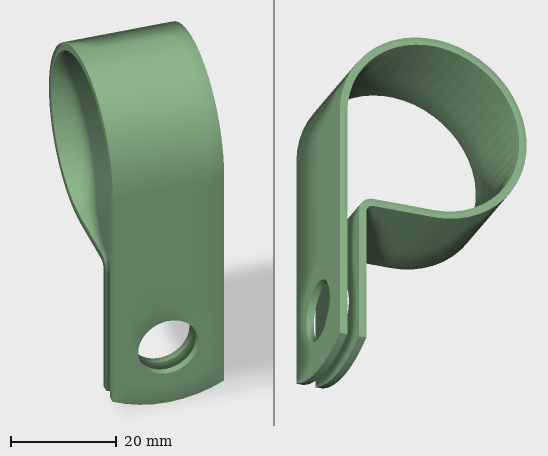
import cadquery as cq
import math

height = 69.0
loop_diameter = 38.0
strap_width = 22.2
thickness = 1.5
leg_gap = 2.35
bend_radius = 1.5
hole_diameter = 12.0
hole_height = 12.7
tip_rise = 2.55

outer_radius = loop_diameter / 2
inner_radius = outer_radius - thickness
bottom = outer_radius - height
short_leg_right = inner_radius - leg_gap
short_leg_left = short_leg_right - thickness
bend_outer_radius = bend_radius + thickness
bend_x = short_leg_right - bend_outer_radius
bend_z = -inner_radius - bend_outer_radius
diagonal = math.sqrt(0.5)


def strap_profile():
    """Closed outline of the bent strip in the XZ plane."""
    return (
        cq.Workplane("XZ")
        .moveTo(outer_radius, bottom)
        .lineTo(outer_radius, 0)
        .threePointArc((-outer_radius * diagonal, outer_radius * diagonal), (0, -outer_radius))
        .lineTo(bend_x, -outer_radius)
        .threePointArc(
            (bend_x + bend_radius * diagonal, bend_z + bend_radius * diagonal),
            (short_leg_left, bend_z),
        )
        .lineTo(short_leg_left, bottom)
        .lineTo(short_leg_right, bottom)
        .lineTo(short_leg_right, bend_z)
        .threePointArc(
            (bend_x + bend_outer_radius * diagonal, bend_z + bend_outer_radius * diagonal),
            (bend_x, -inner_radius),
        )
        .lineTo(0, -inner_radius)
        .threePointArc((-inner_radius * diagonal, inner_radius * diagonal), (inner_radius, 0))
        .lineTo(inner_radius, bottom)
        .close()
    )


def side_envelope():
    """Block with the strap's YZ silhouette: square top and arc-shaped lower end."""
    half_width = strap_width / 2
    corner_z = bottom + tip_rise
    return (
        cq.Workplane("YZ")
        .moveTo(-half_width, outer_radius)
        .lineTo(-half_width, corner_z)
        .threePointArc((0, bottom), (half_width, corner_z))
        .lineTo(half_width, outer_radius)
        .close()
        .extrude(outer_radius, both=True)
    )


def bolt_hole():
    """Cylinder along X that passes through both legs."""
    return (
        cq.Workplane("YZ")
        .center(0, bottom + hole_height)
        .circle(hole_diameter / 2)
        .extrude(outer_radius)
    )


strap = strap_profile().extrude(strap_width / 2, both=True)
result = strap.intersect(side_envelope()).cut(bolt_hole())